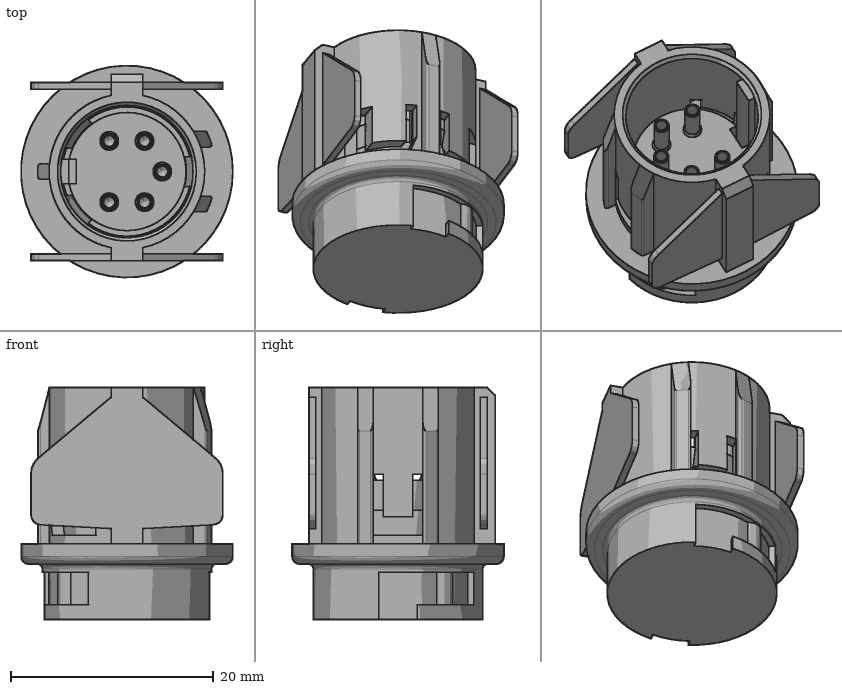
import cadquery as cq
import math

TOTAL_HEIGHT = 23.0
FLANGE_BOTTOM = 5.5
FLANGE_TOP = 7.5

FLANGE_RADIUS = 10.5
FLANGE_EDGE_FILLET = 0.8
FLANGE_ROOT_FILLET = 0.45
LOWER_RADIUS = 16.8 / 2
TRACK_RADIUS = 7.75
TRACK_TOP = 4.7
TRACK_LEDGE = 1.5
ENTRY_HALF_WIDTH = 1.9
TRACK_END_ANGLE = 63.0
DETENT_ANGLE = 37.0
DETENT_HALF_ANGLE = 7.4
DETENT_HEIGHT = 0.5

UPPER_RADIUS = 7.7
BORE_RADIUS = 6.55
BORE_CHAMFER = 0.32

INSERT_RADIUS = 5.85
INSERT_TOP = 13.82
INSERT_FLANGE_RADIUS = 6.4
INSERT_FLANGE_TOP = 10.85

WINDOW_BOTTOM = 8.35
WINDOW_TOP = 14.4
WINDOW_NEAR_Y = 1.3
WINDOW_FAR_X = -3.07
WINDOW_SLANT_TOP = 10.75
WINDOW_SLANT_Y = 2.2
TONGUE_NEAR_Y = 2.33
TONGUE_FAR_Y = 5.23
TONGUE_BOTTOM = 10.2
TONGUE_GAP = TONGUE_NEAR_Y - WINDOW_NEAR_Y
REAR_TONGUE_HALF_WIDTH = 1.48
HOOK_RADIUS = 5.9
HOOK_TIP_TOP = 11.4
HOOK_END_ANGLE = 53.5
HOOK_RAMP_TOP = 13.0

KEY_HALF_WIDTH = 1.22
KEY_FACE = 5.76
KEYWAY_FACE = 5.0
KEY_TOP = TOTAL_HEIGHT - BORE_CHAMFER

RIB_RADIUS = 8.82
RIB_RAMP_BOTTOM = 18.7
RIB_EDGE_FILLET = 0.25
SIDE_RIB_Y = (-0.75, 0.75)
REAR_RIB_Y = (2.43, 4.0)

POST_HALF_WIDTH = 1.55
FRONT_POST_Y = 8.82
REAR_POST_Y = 9.65
REAR_POST_CHAMFER = 0.83
PLATE_INNER_Y = 8.15
PLATE_OUTER_Y = FRONT_POST_Y
PLATE_HALF_WIDTH = 9.5
PLATE_TOP = 22.05
PLATE_SHOULDER = 15.4
PLATE_SIDE_BOTTOM = 9.45
PLATE_BOTTOM = 9.02
PLATE_SHOULDER_FILLET = 2.0
PLATE_LOWER_FILLET = 1.0

PIN_CIRCLE_RADIUS = 3.5
PIN_ANGLES = (-120, -60, 0, 60, 120)
PIN_DIAMETER = 1.48
PIN_TOP = 17.7
PIN_TIP_CHAMFER = 0.12
PIN_HOLE_DIAMETER = 1.1
PIN_HOLE_DEPTH = 2.0
PIN_HOLE_POINT_ANGLE = 118.0
PIN_COLLAR_DIAMETER = 1.82
PIN_COLLAR_HEIGHT = 0.3


def disc(radius, bottom, top):
    """Solid cylinder about the Z axis."""
    return cq.Workplane("XY").workplane(offset=bottom).circle(radius).extrude(top - bottom)


def ring(outer, inner, bottom, top):
    """Hollow cylinder about the Z axis."""
    return disc(outer, bottom, top).cut(disc(inner, bottom, top))


def block(x_range, y_range, z_range):
    """Box given by its limits along each axis."""
    (x0, x1), (y0, y1), (z0, z1) = x_range, y_range, z_range
    return cq.Workplane("XY").box(x1 - x0, y1 - y0, z1 - z0, centered=False).translate((x0, y0, z0))


def revolved(profile):
    """Solid of revolution from (radius, height) points."""
    return cq.Workplane("XZ").polyline(profile).close().revolve(360, (0, 0, 0), (0, 1, 0))


def polar(radius, degrees):
    angle = math.radians(degrees)
    return (radius * math.cos(angle), radius * math.sin(angle))


def make_sector(start_angle, end_angle, z_range):
    """Triangular wedge about the Z axis, reaching past the flange for spans under 90 degrees."""
    reach = 2 * FLANGE_RADIUS
    bottom, top = z_range
    return (
        cq.Workplane("XY")
        .workplane(offset=bottom)
        .polyline([(0, 0), polar(reach, start_angle), polar(reach, end_angle)])
        .close()
        .extrude(top - bottom)
    )


def make_body():
    lower = disc(LOWER_RADIUS, 0, FLANGE_TOP)
    flange = disc(FLANGE_RADIUS, FLANGE_BOTTOM, FLANGE_TOP)
    flange = flange.faces("<Z").edges().fillet(FLANGE_EDGE_FILLET)
    root_radius = LOWER_RADIUS + FLANGE_ROOT_FILLET
    root_bottom = FLANGE_BOTTOM - FLANGE_ROOT_FILLET
    quarter = FLANGE_ROOT_FILLET * math.sqrt(0.5)
    root = (
        cq.Workplane("XZ")
        .moveTo(0, root_bottom)
        .lineTo(LOWER_RADIUS, root_bottom)
        .threePointArc((root_radius - quarter, root_bottom + quarter), (root_radius, FLANGE_BOTTOM))
        .lineTo(0, FLANGE_BOTTOM)
        .close()
        .revolve(360, (0, 0, 0), (0, 1, 0))
    )
    upper = disc(UPPER_RADIUS, FLANGE_TOP, TOTAL_HEIGHT)
    return lower.union(root).union(flange).union(upper)


def make_bore():
    """Space inside the upper barrel around and above the insert."""
    bore = disc(BORE_RADIUS, WINDOW_BOTTOM, TOTAL_HEIGHT)
    mouth = revolved([
        (0, TOTAL_HEIGHT - BORE_CHAMFER),
        (BORE_RADIUS, TOTAL_HEIGHT - BORE_CHAMFER),
        (BORE_RADIUS + BORE_CHAMFER, TOTAL_HEIGHT),
        (0, TOTAL_HEIGHT),
    ])
    return bore.union(mouth)


def make_insert():
    core = disc(INSERT_RADIUS, WINDOW_BOTTOM, INSERT_TOP)
    keyway = block(
        (-INSERT_RADIUS, -KEYWAY_FACE),
        (-KEY_HALF_WIDTH, KEY_HALF_WIDTH),
        (INSERT_FLANGE_TOP, INSERT_TOP),
    )
    return core.cut(keyway).union(disc(INSERT_FLANGE_RADIUS, WINDOW_BOTTOM, INSERT_FLANGE_TOP))


def make_key():
    key = block((-UPPER_RADIUS, -KEY_FACE), (-KEY_HALF_WIDTH, KEY_HALF_WIDTH), (WINDOW_BOTTOM, KEY_TOP))
    return key.intersect(disc((UPPER_RADIUS + BORE_RADIUS) / 2, WINDOW_BOTTOM, KEY_TOP))


def make_corner_window():
    """U-shaped window on the -X, +Y side, leaving a tongue hanging from its upper edge."""
    opening = (
        cq.Workplane("YZ")
        .polyline([
            (WINDOW_NEAR_Y, WINDOW_TOP),
            (WINDOW_NEAR_Y, WINDOW_SLANT_TOP),
            (WINDOW_SLANT_Y, WINDOW_BOTTOM),
            (UPPER_RADIUS, WINDOW_BOTTOM),
            (UPPER_RADIUS, WINDOW_TOP),
        ])
        .close()
        .extrude(-UPPER_RADIUS)
    )
    opening = opening.intersect(
        block((-UPPER_RADIUS, WINDOW_FAR_X), (0, UPPER_RADIUS), (WINDOW_BOTTOM, WINDOW_TOP))
    )
    tongue = block((-UPPER_RADIUS, 0), (TONGUE_NEAR_Y, TONGUE_FAR_Y), (TONGUE_BOTTOM, WINDOW_TOP))
    return opening.cut(tongue)


def make_rear_window():
    """U-shaped window on the +X side around the third tongue."""
    half_width = REAR_TONGUE_HALF_WIDTH + TONGUE_GAP
    opening = block((0, UPPER_RADIUS), (-half_width, half_width), (WINDOW_BOTTOM, WINDOW_TOP))
    tongue = block(
        (0, UPPER_RADIUS),
        (-REAR_TONGUE_HALF_WIDTH, REAR_TONGUE_HALF_WIDTH),
        (TONGUE_BOTTOM, WINDOW_TOP),
    )
    return opening.cut(tongue)


def make_windows():
    corner = make_corner_window()
    openings = corner.union(corner.mirror("XZ")).union(make_rear_window())
    return openings.intersect(ring(UPPER_RADIUS, INSERT_FLANGE_RADIUS, WINDOW_BOTTOM, WINDOW_TOP))


def make_hooks():
    """Snap hooks on the inner faces of the tongues, holding the insert flange down."""
    middle = (UPPER_RADIUS + BORE_RADIUS) / 2
    hook_ring = revolved([
        (HOOK_RADIUS, INSERT_FLANGE_TOP),
        (middle, INSERT_FLANGE_TOP),
        (middle, HOOK_RAMP_TOP),
        (BORE_RADIUS, HOOK_RAMP_TOP),
        (HOOK_RADIUS, HOOK_TIP_TOP),
    ])
    heights = (INSERT_FLANGE_TOP, HOOK_RAMP_TOP)
    corner = block((-UPPER_RADIUS, 0), (TONGUE_NEAR_Y, TONGUE_FAR_Y), heights)
    corner = corner.intersect(make_sector(180, 180 - HOOK_END_ANGLE, heights))
    rear = block((0, UPPER_RADIUS), (-REAR_TONGUE_HALF_WIDTH, REAR_TONGUE_HALF_WIDTH), heights)
    return hook_ring.intersect(corner.union(corner.mirror("XZ")).union(rear))


def make_rib(x_range, y_range):
    """Straight-sided guide rib with a round outer face and a conical lead-in at the top."""
    rib = block(x_range, y_range, (FLANGE_TOP, TOTAL_HEIGHT))
    rib = rib.intersect(disc(RIB_RADIUS, FLANGE_TOP, TOTAL_HEIGHT))
    rib = rib.faces(cq.selectors.TypeSelector("CYLINDER")).edges("|Z").fillet(RIB_EDGE_FILLET)
    lead_in = revolved([
        (0, FLANGE_TOP),
        (RIB_RADIUS, FLANGE_TOP),
        (RIB_RADIUS, RIB_RAMP_BOTTOM),
        (UPPER_RADIUS, TOTAL_HEIGHT),
        (0, TOTAL_HEIGHT),
    ])
    return rib.intersect(lead_in).cut(disc(BORE_RADIUS + BORE_CHAMFER, FLANGE_TOP, TOTAL_HEIGHT))


def make_ribs():
    rear = make_rib((0, RIB_RADIUS), REAR_RIB_Y)
    return make_rib((-RIB_RADIUS, 0), SIDE_RIB_Y).union(rear).union(rear.mirror("XZ"))


def make_plate():
    """Grip plate on the -Y side."""
    right = [
        (POST_HALF_WIDTH, PLATE_TOP),
        (PLATE_HALF_WIDTH, PLATE_SHOULDER),
        (PLATE_HALF_WIDTH, PLATE_SIDE_BOTTOM),
        (POST_HALF_WIDTH, PLATE_BOTTOM),
    ]
    left = [(-x, z) for x, z in reversed(right)]
    plate = (
        cq.Workplane("XZ", origin=(0, -PLATE_INNER_Y, 0))
        .polyline(right + left)
        .close()
        .extrude(PLATE_OUTER_Y - PLATE_INNER_Y)
    )
    middle_y = -(PLATE_INNER_Y + PLATE_OUTER_Y) / 2
    for x in (-PLATE_HALF_WIDTH, PLATE_HALF_WIDTH):
        for z, radius in (
            (PLATE_SHOULDER, PLATE_SHOULDER_FILLET),
            (PLATE_SIDE_BOTTOM, PLATE_LOWER_FILLET),
        ):
            corner = cq.selectors.NearestToPointSelector((x, middle_y, z))
            plate = plate.edges("|Y").edges(corner).fillet(radius)
    return plate


def make_grips():
    inner_y = (UPPER_RADIUS + BORE_RADIUS) / 2
    widths = (-POST_HALF_WIDTH, POST_HALF_WIDTH)
    heights = (FLANGE_TOP, TOTAL_HEIGHT)
    front_post = block(widths, (-FRONT_POST_Y, -inner_y), heights)
    rear_post = block(widths, (inner_y, REAR_POST_Y), heights)
    rear_post = rear_post.faces(">Z").edges(">Y").chamfer(REAR_POST_CHAMFER)
    plate = make_plate()
    return front_post.union(rear_post).union(plate).union(plate.mirror("XZ"))


def make_bayonet_track():
    """Track on the -X side: open entry at the bottom, then a locking arm turning toward -Y."""
    shell = ring(LOWER_RADIUS, TRACK_RADIUS, 0, TRACK_TOP)
    entry = block((-LOWER_RADIUS, 0), (-ENTRY_HALF_WIDTH, ENTRY_HALF_WIDTH), (0, TRACK_TOP))
    arm = make_sector(180, 180 + TRACK_END_ANGLE, (TRACK_LEDGE, TRACK_TOP))
    centre = 180 + DETENT_ANGLE
    detent = (
        cq.Workplane("XY")
        .workplane(offset=TRACK_LEDGE)
        .moveTo(*polar(TRACK_RADIUS, centre - DETENT_HALF_ANGLE))
        .threePointArc(
            polar(TRACK_RADIUS + DETENT_HEIGHT, centre),
            polar(TRACK_RADIUS, centre + DETENT_HALF_ANGLE),
        )
        .close()
        .extrude(TRACK_TOP - TRACK_LEDGE)
    )
    return shell.intersect(entry.union(arm)).cut(detent)


def make_pin():
    """Hollow-tipped contact pin rising from a conical collar, standing on the Z axis."""
    pin = disc(PIN_DIAMETER / 2, INSERT_TOP, PIN_TOP)
    pin = pin.faces(">Z").edges().chamfer(PIN_TIP_CHAMFER)
    collar = revolved([
        (0, INSERT_TOP),
        (PIN_COLLAR_DIAMETER / 2, INSERT_TOP),
        (PIN_DIAMETER / 2, INSERT_TOP + PIN_COLLAR_HEIGHT),
        (0, INSERT_TOP + PIN_COLLAR_HEIGHT),
    ])
    hole_radius = PIN_HOLE_DIAMETER / 2
    point_height = hole_radius / math.tan(math.radians(PIN_HOLE_POINT_ANGLE / 2))
    hole = revolved([
        (0, PIN_TOP),
        (hole_radius, PIN_TOP),
        (hole_radius, PIN_TOP - PIN_HOLE_DEPTH),
        (0, PIN_TOP - PIN_HOLE_DEPTH - point_height),
    ])
    return pin.union(collar).cut(hole)


def add_pins(body):
    pin = make_pin()
    for angle in PIN_ANGLES:
        x, y = polar(PIN_CIRCLE_RADIUS, angle)
        body = body.union(pin.translate((x, y, 0)))
    return body


track = make_bayonet_track()
body = make_body().union(make_ribs()).union(make_grips())
body = body.cut(make_bore()).cut(make_windows())
body = body.union(make_insert()).union(make_key()).union(make_hooks())
body = body.cut(track).cut(track.rotate((0, 0, 0), (0, 0, 1), 180))
result = add_pins(body)